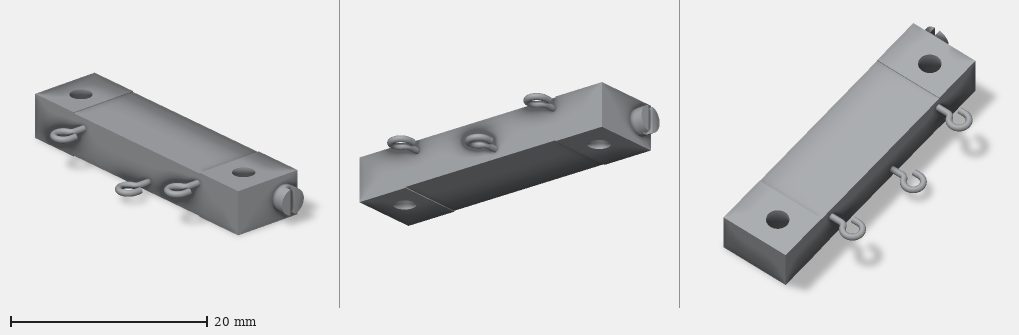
import cadquery as cq
import math

BODY_LENGTH = 31.73
BODY_DEPTH = 8.0
BODY_HEIGHT = 4.95
END_PAD_LENGTH = 6.0
RIGHT_PAD_START = 25.68
RELIEF_DEPTH = 0.1

HOLE_DIAMETER = 2.4
HOLE_END_DISTANCE = 3.15
HOLE_Y = 3.45

OVERALL_LENGTH = 33.22
SCREW_LENGTH = OVERALL_LENGTH - BODY_LENGTH
SCREW_DIAMETER = 2.95
SCREW_Y = 6.08
SCREW_Z = BODY_HEIGHT / 2
SLOT_WIDTH = 0.63
SLOT_DEPTH = 0.8

WIRE_DIAMETER = 0.7
HOOK_REACH = 4.12
HOOK_RADIUS = 1.03
SHANK_LENGTH = 1.3
TIP_LENGTH = 0.7
SHANK_EMBED = 0.33
UPPER_Z = 3.7
LOWER_Z = 1.2
TERMINALS = [(7.6, UPPER_Z), (17.77, LOWER_Z), (25.4, UPPER_Z)]


def make_body():
    body = cq.Workplane("XY").box(BODY_LENGTH, BODY_DEPTH, BODY_HEIGHT, centered=False)
    relief = cq.Workplane("XY").box(
        RIGHT_PAD_START - END_PAD_LENGTH, BODY_DEPTH, RELIEF_DEPTH, centered=False
    )
    for z in (0, BODY_HEIGHT - RELIEF_DEPTH):
        body = body.cut(relief.translate((END_PAD_LENGTH, 0, z)))

    hole_centres = [(HOLE_END_DISTANCE, HOLE_Y), (BODY_LENGTH - HOLE_END_DISTANCE, HOLE_Y)]
    holes = (
        cq.Workplane("XY").pushPoints(hole_centres).circle(HOLE_DIAMETER / 2).extrude(BODY_HEIGHT)
    )
    return body.cut(holes)


def make_screw():
    screw = (
        cq.Workplane("YZ", origin=(BODY_LENGTH, SCREW_Y, SCREW_Z))
        .circle(SCREW_DIAMETER / 2)
        .extrude(SCREW_LENGTH)
    )
    slot = cq.Workplane("XY").box(SLOT_DEPTH, SLOT_WIDTH, SCREW_DIAMETER)
    return screw.cut(slot.translate((OVERALL_LENGTH - SLOT_DEPTH / 2, SCREW_Y, SCREW_Z)))


def make_terminal():
    """Wire along -Y: shank, small bend, then an open hook with a short straight tip."""
    ring_y = -(HOOK_REACH - HOOK_RADIUS - WIRE_DIAMETER / 2)
    rise = -SHANK_LENGTH - ring_y
    bend_radius = (rise**2 - HOOK_RADIUS**2) / (2 * HOOK_RADIUS)
    bend_angle = math.atan2(rise, bend_radius)

    def bend_point(angle):
        return (
            bend_radius * (math.cos(angle) - 1),
            -SHANK_LENGTH - bend_radius * math.sin(angle),
        )

    path = (
        cq.Workplane("XY")
        .moveTo(0, SHANK_EMBED)
        .lineTo(0, -SHANK_LENGTH)
        .threePointArc(bend_point(bend_angle / 2), bend_point(bend_angle))
        .threePointArc((0, ring_y - HOOK_RADIUS), (HOOK_RADIUS, ring_y))
        .lineTo(HOOK_RADIUS, ring_y + TIP_LENGTH)
    )
    return cq.Workplane("XZ", origin=(0, SHANK_EMBED, 0)).circle(WIRE_DIAMETER / 2).sweep(path)


result = make_body().union(make_screw())
terminal = make_terminal()
for x, z in TERMINALS:
    result = result.union(terminal.translate((x, 0, z)))